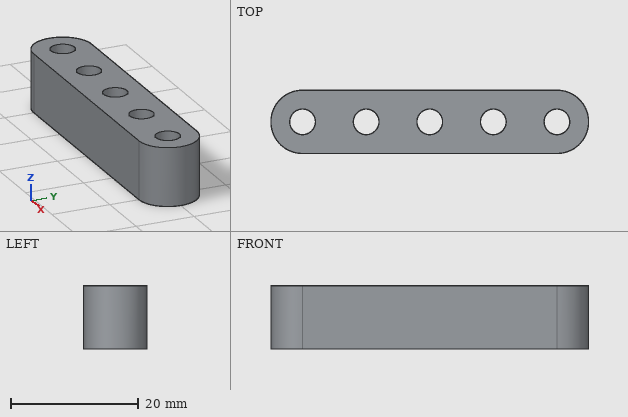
import cadquery as cq

length = 50.0
width = 10.0
height = 10.0
hole_diameter = 4.0
hole_count = 5

hole_pitch = (length - width) / (hole_count - 1)

bar = cq.Workplane("XY").slot2D(length, width).extrude(height)

result = (
    bar.faces(">Z")
    .workplane()
    .rarray(hole_pitch, width, hole_count, 1)
    .hole(hole_diameter)
)